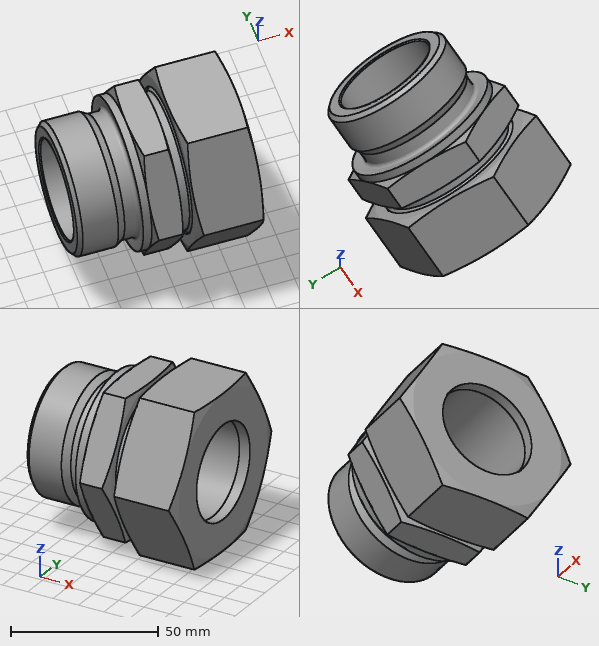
import cadquery as cq
import math


stud_chamfer = 1.5
stud_end = 14.3
flange_face = 21.95
hex_start = 25.0
hex_end = 35.95
thread_runout_start = 39.55
nut_start = 40.05
nut_end = 64.0
nut_lip = 4.15

bore_radius = 18.0
bore_chamfer = 0.5
stud_radius = 23.9
neck_radius = 22.3
seal_recess_radius = 26.4
relief_radius = 24.5
nut_thread_radius = 26.0

hex_inradius_ratio = math.cos(math.pi / 6)
body_hex_inradius = 27.5
nut_corner_radius = 34.65
nut_hex_inradius = nut_corner_radius * hex_inradius_ratio

neck_taper = 30
recess_slope = 8
hex_chamfer_slope = 15
recess_fillet = 1.2


def slope(angle):
    return math.tan(math.radians(angle))


def revolve_about_x(points):
    """Turn a closed (x, radius) outline about the X axis."""
    return cq.Workplane("XY").polyline(points).close().revolve(360, (0, 0, 0), (1, 0, 0))


def chamfered_hexagon(x_start, x_end, inradius):
    """Hexagonal prism with corners on the Y axis, its corners turned down at both ends."""
    corner_radius = inradius / hex_inradius_ratio
    depth = (corner_radius - inradius) * slope(hex_chamfer_slope)
    prism = cq.Workplane("YZ", origin=(x_start, 0, 0)).polygon(6, 2 * corner_radius).extrude(x_end - x_start)
    turned_envelope = revolve_about_x([
        (x_start, 0),
        (x_start, inradius),
        (x_start + depth, corner_radius),
        (x_end - depth, corner_radius),
        (x_end, inradius),
        (x_end, 0),
    ])
    return prism.intersect(turned_envelope)


thread_full_start = thread_runout_start + nut_thread_radius - relief_radius
thread_end = nut_end - nut_lip


def stud_and_flange():
    """Turned stud, neck and flange; the flange face is undercut to leave a sealing rim."""
    neck_start = stud_end + (stud_radius - neck_radius) / slope(neck_taper)
    recess_bottom = flange_face + (seal_recess_radius - neck_radius) * slope(recess_slope)
    turned = revolve_about_x([
        (0, 0),
        (0, stud_radius - stud_chamfer),
        (stud_chamfer, stud_radius),
        (stud_end, stud_radius),
        (neck_start, neck_radius),
        (recess_bottom, neck_radius),
        (flange_face, seal_recess_radius),
        (flange_face, body_hex_inradius),
        (hex_start, body_hex_inradius),
        (hex_start, 0),
    ])
    tolerance = 0.01
    recess_corner = cq.selectors.BoxSelector(
        (recess_bottom - tolerance, -stud_radius, -stud_radius),
        (recess_bottom + tolerance, stud_radius, stud_radius),
    )
    return turned.edges(recess_corner).fillet(recess_fillet)


def nut_end_thread():
    """Relief groove and thread envelope that carries the nut."""
    return revolve_about_x([
        (hex_end, 0),
        (hex_end, relief_radius),
        (thread_runout_start, relief_radius),
        (thread_full_start, nut_thread_radius),
        (thread_end, nut_thread_radius),
        (thread_end, 0),
    ])


def through_bore():
    """Bore along the whole assembly with a small lead-in at the stud face."""
    return revolve_about_x([
        (0, 0),
        (0, bore_radius + bore_chamfer),
        (bore_chamfer, bore_radius),
        (nut_end, bore_radius),
        (nut_end, 0),
    ])


def make_fitting_body():
    wrench_hexagon = chamfered_hexagon(hex_start, hex_end, body_hex_inradius)
    return stud_and_flange().union(wrench_hexagon).union(nut_end_thread()).cut(through_bore())


def make_union_nut():
    hexagon = chamfered_hexagon(nut_start, nut_end, nut_hex_inradius)
    threaded_hole = (
        cq.Workplane("YZ", origin=(nut_start, 0, 0))
        .circle(nut_thread_radius)
        .extrude(thread_end - nut_start)
    )
    return hexagon.cut(threaded_hole).cut(through_bore())


fitting_body = make_fitting_body()
union_nut = make_union_nut()

result = cq.Compound.makeCompound([fitting_body.val(), union_nut.val()])